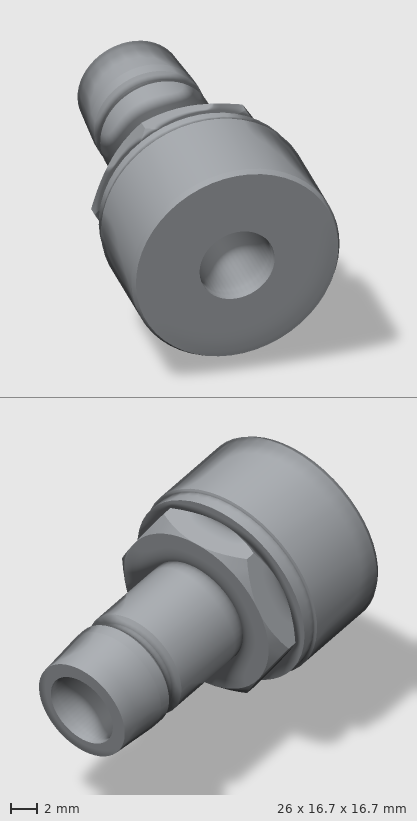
import cadquery as cq
import math

taper_end = 4.0
groove_start = 5.0
groove_depth = 0.5
groove_floor_width = 0.52
hex_start = 14.01
hex_width = 3.0
collar_width = 1.12
total_length = 26.0

bore_diameter = 6.0
tip_diameter = 8.32
shank_diameter = 9.0
hex_across_flats = 14.0
collar_diameter = 16.2
body_diameter = 16.67

body_rear_bevel = 0.13
body_front_bevel = 0.42

tip_radius = tip_diameter / 2
shank_radius = shank_diameter / 2
collar_radius = collar_diameter / 2
body_radius = body_diameter / 2
groove_floor_radius = shank_radius - groove_depth
groove_floor_start = groove_start + groove_depth
groove_floor_end = groove_floor_start + groove_floor_width
groove_end = groove_floor_end + groove_depth
hex_end = hex_start + hex_width
body_start = hex_end + collar_width


def revolve_about_x(profile):
    """Revolve a closed XZ profile one full turn about the X axis."""
    return cq.Workplane("XZ").polyline(profile).close().revolve(360, (0, 0, 0), (1, 0, 0))


def make_turned_body():
    """Tapered and grooved shank, collar and large bevelled body, all coaxial."""
    return revolve_about_x([
        (0, 0),
        (0, tip_radius),
        (taper_end, shank_radius),
        (groove_start, shank_radius),
        (groove_floor_start, groove_floor_radius),
        (groove_floor_end, groove_floor_radius),
        (groove_end, shank_radius),
        (hex_end, shank_radius),
        (hex_end, collar_radius),
        (body_start, collar_radius),
        (body_start + body_rear_bevel, body_radius),
        (total_length - body_front_bevel, body_radius),
        (total_length, collar_radius),
        (total_length, 0),
    ])


def make_hex():
    """Hexagon with flats facing +Z and -Z, its corners bevelled at 45 degrees on both faces."""
    flat_radius = hex_across_flats / 2
    corner_radius = flat_radius / math.cos(math.pi / 6)
    prism = (
        cq.Workplane("YZ", origin=(hex_start, 0, 0))
        .polygon(6, 2 * corner_radius)
        .extrude(hex_width)
    )
    half_width = hex_width / 2
    envelope = revolve_about_x([
        (hex_start, 0),
        (hex_start, flat_radius),
        (hex_start + half_width, flat_radius + half_width),
        (hex_end, flat_radius),
        (hex_end, 0),
    ])
    return prism.intersect(envelope)


def make_bore():
    """Straight through hole along the X axis."""
    return cq.Workplane("YZ").circle(bore_diameter / 2).extrude(total_length)


result = make_turned_body().union(make_hex()).cut(make_bore())